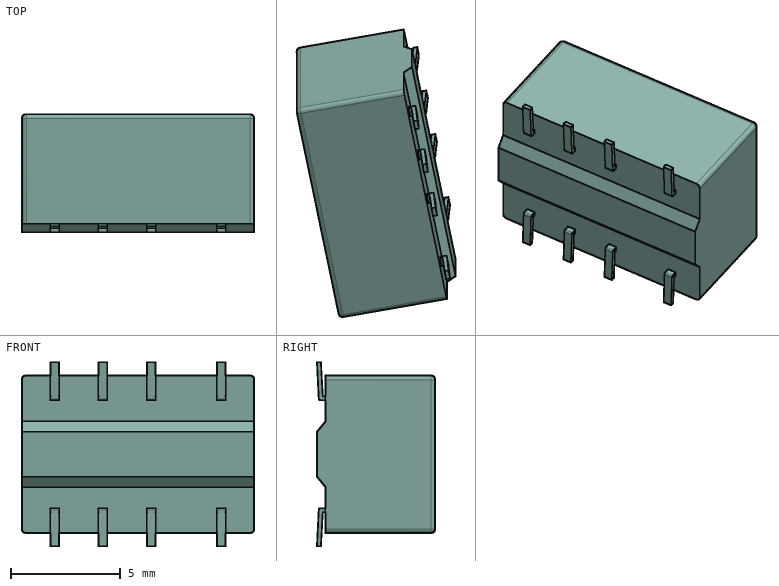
import cadquery as cq

length = 10.6
body_depth = 5.0
body_height = 7.2
edge_radius = 0.2

standoff = 0.39
rib_base_width = 2.99
rib_top_width = 2.04

lead_positions = (-3.8, -1.6, 0.6, 3.8)
lead_width = 0.4
lead_thickness = 0.19
lead_span = 8.4
lead_inner_span = 4.92
bend_gap = 0.12
tip_gap = standoff - lead_thickness
bend_radius = 0.08
lead_embed = 0.11


def make_housing():
    """Box with rounded sides and back edges; the mounting face stays sharp."""
    box = cq.Workplane("XY").box(length, body_depth, body_height)
    box = box.translate((0, body_depth / 2, 0))
    return box.edges("|Y or >Y").fillet(edge_radius)


def make_rib():
    """Full-length standoff with sloping flanks."""
    outline = [
        (0, -rib_base_width / 2),
        (-standoff, -rib_top_width / 2),
        (-standoff, rib_top_width / 2),
        (0, rib_base_width / 2),
    ]
    return cq.Workplane("YZ").polyline(outline).close().extrude(length / 2, both=True)


def make_upper_lead(x):
    """Strip leaving the mounting face, bending upward and leaning away to its tip."""
    foot = lead_inner_span / 2
    tip = lead_span / 2
    outline = [
        (lead_embed, foot),
        (-bend_gap - lead_thickness, foot),
        (-tip_gap - lead_thickness, tip),
        (-tip_gap, tip),
        (-bend_gap, foot + lead_thickness),
        (lead_embed, foot + lead_thickness),
    ]
    lead = cq.Workplane("YZ").polyline(outline).close().extrude(lead_width / 2, both=True)
    bend_edge = cq.selectors.NearestToPointSelector((0, -bend_gap - lead_thickness, foot))
    lead = lead.edges("|X").edges(bend_edge).fillet(bend_radius)
    return lead.translate((x, 0, 0))


result = make_housing().union(make_rib())
for position in lead_positions:
    upper_lead = make_upper_lead(position)
    result = result.union(upper_lead).union(upper_lead.mirror("XY"))